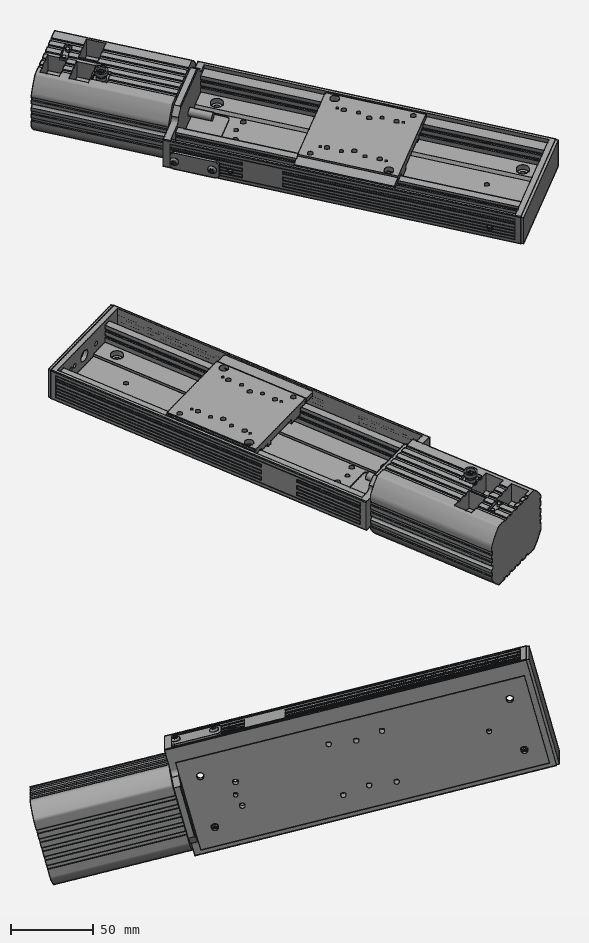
import cadquery as cq
import math


motor_length = 87.5
drive_plate_end = 92.0
rail_end = 311.5
end_plate_end = 315.2
total_length = 317.0

body_left = 32.6
body_right = -39.4
body_top = 11.6
body_bottom = -11.6
foot_bottom = -12.3
foot_half_width = 29.5
edge_chamfer = 0.5
rail_inner = 23.4
channel_floor = -5.1
centre_floor = -7.0
centre_left = 10.3
centre_left_slope = 1.7
centre_right = -10.4
ledge_z = 8.5
rail_outer_right = -28.2
wall_left_inner = 30.3
wall_right_inner = -37.6
raceway_z = (4.6, -0.6)
raceway_height = 2.0
rail_groove_z = 5.5
raceway_depth = 1.0

side_panel_half_height = 8.6
side_panel_depth = 0.3
side_groove_depth = 1.0
side_grooves = ((4.85, 1.9), (-0.35, 2.7), (-5.4, 2.6))
label_start = 137.8
label_end = 163.5
set_screw_x = (130.1, 295.4)
set_screw_z = -3.8
set_screw_diameter = 4.0
set_screw_depth = 2.0

motor_half_width = 28.0
motor_half_height = 23.75
motor_corner_radius = 30.85
motor_top_blend = 2.5
motor_side_blend = 6.0
motor_groove_depth = 1.0
top_groove_pitch = 6.0
top_groove_width = 2.4
top_groove_count = 5
motor_side_pitch = 5.75
motor_side_groove_width = 2.8
motor_side_grooves = 4
motor_side_first_z = 10.1
round_groove_index = 1
round_groove_diameter = 3.4
pocket_depth = 14.0
pocket_length = 12.4
pocket_width = 16.4
pockets = ((26.9, 10.2), (26.9, -9.2), (8.5, -9.2))

connector_x = 38.9
connector_y = -9.2
connector_top = 28.5
connector_diameter = 8.0
connector_neck_diameter = 6.5
connector_bore = 5.7
connector_collar_z = 25.6
connector_well = 9.6
connector_well_depth = 2.5
connector_bore_depth = 5.0
pin_diameter = 0.8
pin_circle_radius = 1.5
pin_count = 4
pin_height = 4.0
switch_x = 12.0
switch_y = 4.6
switch_length = 10.4
switch_width = 4.8
switch_depth = 3.0
switch_screw_diameter = 2.46
switch_screw_height = 2.0
switch_screw_offset = 3.6

hub_half_height = 20.2
hub_flat_half_width = 17.0
hub_half_width = 22.3
hub_shoulder_z = 15.7
hub_foot_radius = 2.9
hub_chamfer = 0.6
plate_hole_y = -33.0
plate_hole_diameter = 4.5
drive_screw_diameter = 5.5
screw_tip_x = 107.0
drive_recess_end = 115.0
drive_recess_half_width = 9.6
drive_recess_corner = 2.5
drive_recess_depth = 0.6

bearing_bore = 8.0
bearing_bore_depth = 3.0
idler_axis_z = 1.0
idler_screw_holes = (15.3, 11.0, -13.4)
idler_screw_hole_diameter = 3.0

mount_x = (104.2, 299.0)
mount_y = (17.2, -17.2)
mount_diameter = 4.5
mount_head_diameter = 8.0
mount_head_depth = 4.0
floor_holes = ((121.8, 0, 2.8), (123.9, 8.0, 3.4), (123.9, -8.0, 3.4), (281.4, 0, 3.0))
slot_x = (137.3, 287.0)
slot_y = -32.4
slot_length = 15.0
slot_width = 5.5
slot_depth = 3.0

carriage_x = 201.8
carriage_length = 64.0
carriage_half_width = 28.2
carriage_top = 12.4
carriage_left_lip = 29.4
carriage_right = -36.5
carriage_shoulder_z = 11.5
carriage_gap = 0.5
carriage_gap_floor = 9.5
carriage_arch_z = 6.8
slide_half_width = 22.0
carriage_feet = ((-22.0, -12.0, 3.5), (11.0, 14.5, 4.5))
corner_hole_pitch = 50.0
locating_hole_diameter = 5.7
corner_hole_diameter = 3.4
corner_hole_depth = 5.0
through_hole_diameter = 3.24
through_holes = ((-16.8, 17.2), (0, 15.1), (16.8, 17.2))
tapped_hole_y = 17.6
tapped_hole_depth = 5.0
tapped_holes = ((-21.0, 1.57), (-7.5, 2.46), (7.5, 2.46), (21.0, 1.57))

cover_start = 92.3
cover_end = 123.6
cover_bottom = -10.2
cover_top = 3.4
cover_face = -40.7
cover_corner = 2.0
cover_screw_x = (95.2, 119.3)
cover_screw_z = -3.4
cover_screw_diameter = 5.5
cover_screw_face = -42.2
cover_screw_rounding = 1.2
hex_socket_size = 2.8
hex_socket_depth = 1.2


def box(x0, x1, y0, y1, z0, z1):
    """Box between opposite corners given in any order."""
    size = (abs(x1 - x0), abs(y1 - y0), abs(z1 - z0))
    middle = ((x0 + x1) / 2, (y0 + y1) / 2, (z0 + z1) / 2)
    return cq.Workplane("XY").box(*size).translate(middle)


def rod_x(diameter, x0, x1, y, z):
    """Cylinder along X."""
    return cq.Workplane("YZ", origin=(x0, y, z)).circle(diameter / 2).extrude(x1 - x0)


def rod_y(diameter, y0, y1, x, z):
    """Cylinder along Y from y0 to y1."""
    return cq.Workplane("XZ", origin=(x, y0, z)).circle(diameter / 2).extrude(y0 - y1)


def rod_z(diameter, z0, z1, x, y):
    """Cylinder along Z from z0 to z1."""
    return cq.Workplane("XY", origin=(x, y, z0)).circle(diameter / 2).extrude(z1 - z0)


def make_base():
    """Extruded base with the rail channel, belt trough and outer side grooves."""
    x0, x1 = drive_plate_end, rail_end
    base = box(x0, x1, body_right, body_left, body_bottom, body_top).edges("|X").chamfer(edge_chamfer)
    base = base.union(box(x0, x1, -foot_half_width, foot_half_width, foot_bottom, body_bottom))

    base = base.cut(box(x0, x1, -rail_inner, rail_inner, channel_floor, body_top))
    base = base.cut(box(x0, x1, rail_outer_right, wall_left_inner, ledge_z, body_top))
    base = base.cut(box(x0, x1, wall_right_inner, rail_outer_right, channel_floor, body_top))

    raceway_half_width = rail_inner + raceway_depth
    for z in raceway_z:
        base = base.cut(box(x0, x1, -raceway_half_width, raceway_half_width,
                            z - raceway_height / 2, z + raceway_height / 2))

    rail_groove_wall = rail_outer_right + raceway_depth
    base = base.cut(box(x0, x1, rail_outer_right, rail_groove_wall,
                        rail_groove_z - raceway_height / 2, rail_groove_z + raceway_height / 2))

    centre = cq.Workplane("YZ", origin=(x0, 0, 0)).polyline([
        (centre_right, channel_floor),
        (centre_right, centre_floor),
        (centre_left, centre_floor),
        (centre_left + centre_left_slope, channel_floor),
    ]).close().extrude(x1 - x0)
    base = base.cut(centre)

    return cut_outer_side(cut_outer_side(base, body_right, 1), body_left, -1)


def cut_outer_side(base, face_y, inward):
    """Sunk panel on one outer side with long grooves that stop at the flat label field."""
    groove_bottom = face_y + inward * side_groove_depth
    base = base.cut(box(drive_plate_end, rail_end, face_y, face_y + inward * side_panel_depth,
                        -side_panel_half_height, side_panel_half_height))
    for z, height in side_grooves:
        for x0, x1 in ((drive_plate_end, label_start), (label_end, rail_end)):
            base = base.cut(box(x0, x1, face_y, groove_bottom, z - height / 2, z + height / 2))
    return base


def cut_base_holes(base):
    """Mounting holes, floor holes, belt trough slots and side set screw holes."""
    for x in mount_x:
        for y in mount_y:
            base = base.cut(rod_z(mount_diameter, foot_bottom, channel_floor, x, y))
            base = base.cut(rod_z(mount_head_diameter, channel_floor - mount_head_depth, channel_floor, x, y))
    for x, y, diameter in floor_holes:
        base = base.cut(rod_z(diameter, foot_bottom, centre_floor, x, y))
    for x in slot_x:
        slot = cq.Workplane("XY", origin=(x, slot_y, channel_floor)).slot2D(slot_length, slot_width)
        base = base.cut(slot.extrude(-slot_depth))
    for x in set_screw_x:
        base = base.cut(rod_y(set_screw_diameter, body_right + set_screw_depth, body_right, x, set_screw_z))

    recess = box(drive_plate_end, drive_recess_end, -drive_recess_half_width, drive_recess_half_width,
                 centre_floor - drive_recess_depth, centre_floor)
    return base.cut(recess.edges("|Z and >X").fillet(drive_recess_corner))


def make_motor():
    """Motor housing: flat-sided round bar with cooling grooves and open pockets."""
    motor = rod_x(2 * motor_corner_radius, 0, motor_length, 0, 0)
    motor = motor.intersect(box(0, motor_length, -motor_half_width, motor_half_width,
                                -motor_half_height, motor_half_height))

    motor = motor.edges("|X and (>Z or <Z)").fillet(motor_top_blend)
    motor = motor.edges("|X and (>Y or <Y)").fillet(motor_side_blend)

    top_groove_floor = motor_half_height - motor_groove_depth
    for index in range(top_groove_count):
        y = (index - (top_groove_count - 1) / 2) * top_groove_pitch
        for side in (-1, 1):
            motor = motor.cut(box(0, motor_length, y - top_groove_width / 2, y + top_groove_width / 2,
                                  side * top_groove_floor, side * motor_half_height))

    side_groove_floor = motor_half_width - motor_groove_depth
    for index in range(motor_side_grooves):
        z = motor_side_first_z - index * motor_side_pitch
        for side in (-1, 1):
            middle = -side * z
            if index == round_groove_index:
                motor = motor.cut(rod_x(round_groove_diameter, 0, motor_length,
                                        side * motor_half_width, middle))
                continue
            motor = motor.cut(box(0, motor_length, side * side_groove_floor, side * motor_half_width,
                                  middle - motor_side_groove_width / 2,
                                  middle + motor_side_groove_width / 2))

    for x, y in pockets:
        motor = motor.cut(box(x - pocket_length / 2, x + pocket_length / 2,
                              y - pocket_width / 2, y + pocket_width / 2,
                              motor_half_height - pocket_depth, motor_half_height))
    return add_switch(add_connector(motor))


def add_connector(motor):
    """Round socket with contact pins, standing in a square well."""
    well_floor = motor_half_height - connector_well_depth
    half_well = connector_well / 2
    motor = motor.cut(box(connector_x - half_well, connector_x + half_well,
                          connector_y - half_well, connector_y + half_well,
                          well_floor, motor_half_height))
    motor = motor.union(rod_z(connector_neck_diameter, well_floor, connector_top, connector_x, connector_y))
    motor = motor.union(rod_z(connector_diameter, connector_collar_z, connector_top,
                              connector_x, connector_y))
    bore_floor = connector_top - connector_bore_depth
    motor = motor.cut(rod_z(connector_bore, bore_floor, connector_top, connector_x, connector_y))
    for index in range(pin_count):
        angle = 2 * math.pi * (index + 0.5) / pin_count
        x = connector_x + pin_circle_radius * math.cos(angle)
        y = connector_y + pin_circle_radius * math.sin(angle)
        motor = motor.union(rod_z(pin_diameter, bore_floor, bore_floor + pin_height, x, y))
    return motor


def add_switch(motor):
    """Sunk rectangular window with two screws in its floor."""
    floor = motor_half_height - switch_depth
    motor = motor.cut(box(switch_x - switch_width / 2, switch_x + switch_width / 2,
                          switch_y - switch_length / 2, switch_y + switch_length / 2,
                          floor, motor_half_height))
    for side in (-1, 1):
        y = switch_y + side * switch_screw_offset
        motor = motor.union(rod_z(switch_screw_diameter, floor, floor + switch_screw_height, switch_x, y))
    return motor


def make_hub_half(x0, x1):
    """Upper half of the hub: bevelled top and a hollow round flowing out onto the plate."""
    foot_half_width = hub_half_width + hub_foot_radius
    foot_centre_z = body_top + hub_foot_radius
    round_offset = hub_foot_radius * math.sqrt(0.5)
    right_middle = (foot_half_width - round_offset, foot_centre_z - round_offset)
    left_middle = (-right_middle[0], right_middle[1])
    outline = (
        cq.Workplane("YZ", origin=(x0, 0, 0))
        .moveTo(-foot_half_width, 0)
        .lineTo(foot_half_width, 0)
        .lineTo(foot_half_width, body_top)
        .threePointArc(right_middle, (hub_half_width, foot_centre_z))
        .lineTo(hub_half_width, hub_shoulder_z)
        .lineTo(hub_flat_half_width, hub_half_height)
        .lineTo(-hub_flat_half_width, hub_half_height)
        .lineTo(-hub_half_width, hub_shoulder_z)
        .lineTo(-hub_half_width, foot_centre_z)
        .threePointArc(left_middle, (-foot_half_width, body_top))
        .close()
    )
    return outline.extrude(x1 - x0).edges("|Y and >X and >Z").chamfer(hub_chamfer)


def make_drive_plate():
    """Plate between motor and base with a raised hub, plus the drive screw end."""
    x0, x1 = motor_length, drive_plate_end
    upper_hub = make_hub_half(x0, x1)
    hub = upper_hub.union(upper_hub.mirror("XY"))
    plate = box(x0, x1, body_right, body_left, body_bottom, body_top).edges("|X").chamfer(edge_chamfer)
    plate = plate.union(hub)
    plate = plate.cut(rod_x(plate_hole_diameter, x0, x1, plate_hole_y, 0))
    return plate.union(rod_x(drive_screw_diameter, x0, screw_tip_x, 0, 0))


def make_idler_plate():
    """Plate closing the +X end, with the screw bearing bore and a thin outer cover."""
    plate = box(rail_end, end_plate_end, body_right, body_left, body_bottom, body_top)
    plate = plate.edges("|X").chamfer(edge_chamfer)
    plate = plate.cut(rod_x(bearing_bore, rail_end, rail_end + bearing_bore_depth, 0, idler_axis_z))
    for y in idler_screw_holes:
        plate = plate.cut(rod_x(idler_screw_hole_diameter, rail_end, rail_end + bearing_bore_depth,
                                y, idler_axis_z))
    cover = box(end_plate_end, total_length, body_right + edge_chamfer, body_left - edge_chamfer,
                body_bottom + edge_chamfer, body_top - edge_chamfer)
    return plate.union(cover)


def make_carriage():
    """Moving table with a lower shoulder on each side and two feet in the channel."""
    x0 = carriage_x - carriage_length / 2
    x1 = carriage_x + carriage_length / 2
    carriage = box(x0, x1, -carriage_half_width, carriage_half_width, ledge_z, carriage_top)
    carriage = carriage.union(box(x0, x1, -carriage_half_width, carriage_left_lip,
                                  ledge_z, carriage_shoulder_z))
    strip_edge = -carriage_half_width - carriage_gap
    strip = box(x0, x1, carriage_right, strip_edge, ledge_z, carriage_shoulder_z)
    carriage = carriage.union(strip.edges("|Z and <Y").chamfer(edge_chamfer))
    carriage = carriage.union(box(x0, x1, strip_edge, -carriage_half_width, ledge_z, carriage_gap_floor))
    carriage = carriage.union(box(x0, x1, -slide_half_width, slide_half_width, carriage_arch_z, ledge_z))
    for y0, y1, bottom in carriage_feet:
        carriage = carriage.union(box(x0, x1, y0, y1, bottom, carriage_arch_z))
    return carriage


def cut_carriage_holes(body):
    """Corner holes, blind tapped holes, and holes that run on down through the base."""
    half_pitch = corner_hole_pitch / 2
    for x_side in (-1, 1):
        for y_side in (-1, 1):
            locating = x_side != y_side
            diameter = locating_hole_diameter if locating else corner_hole_diameter
            body = body.cut(rod_z(diameter, carriage_top - corner_hole_depth, carriage_top,
                                  carriage_x + x_side * half_pitch, y_side * half_pitch))
    for y_side in (-1, 1):
        for dx, y in through_holes:
            body = body.cut(rod_z(through_hole_diameter, foot_bottom, carriage_top,
                                  carriage_x + dx, y_side * y))
        for dx, diameter in tapped_holes:
            body = body.cut(rod_z(diameter, carriage_top - tapped_hole_depth, carriage_top,
                                  carriage_x + dx, y_side * tapped_hole_y))
    return body


def make_side_cover():
    """Cover plate on the -Y side held by two round-headed hex socket screws."""
    back = body_right + side_groove_depth
    cover = box(cover_start, cover_end, cover_face, back, cover_bottom, cover_top)
    cover = cover.edges("|Y").chamfer(cover_corner)
    for x in cover_screw_x:
        head = rod_y(cover_screw_diameter, cover_face, cover_screw_face, x, cover_screw_z)
        head = head.faces("<Y").edges().fillet(cover_screw_rounding)
        socket = cq.Workplane("XZ", origin=(x, cover_screw_face + hex_socket_depth, cover_screw_z))
        socket = socket.polygon(6, hex_socket_size).extrude(hex_socket_depth)
        cover = cover.union(head).cut(socket)
    return cover


result = cut_base_holes(make_base())
result = result.union(make_motor())
result = result.union(make_drive_plate())
result = result.union(make_idler_plate())
result = result.union(make_carriage())
result = cut_carriage_holes(result)
result = result.union(make_side_cover())